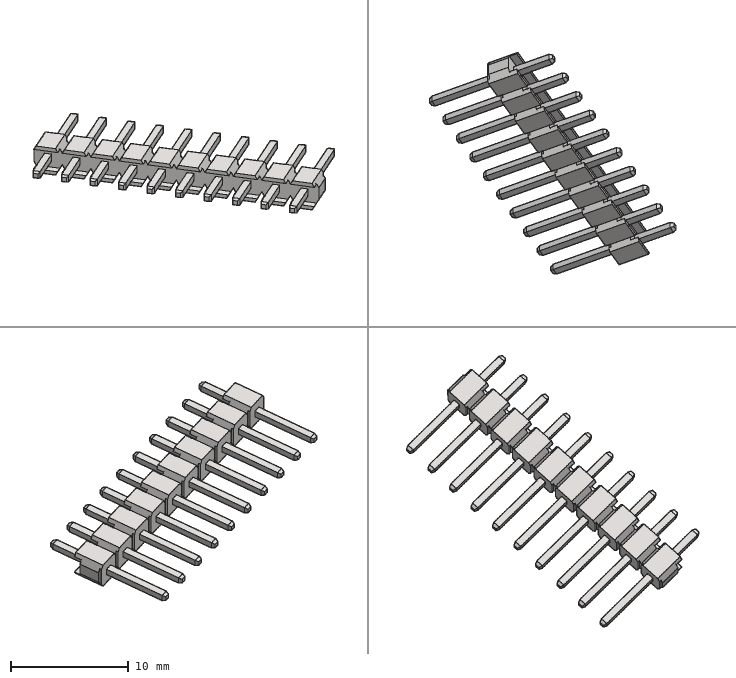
import cadquery as cq

pin_count = 10
pitch = 2.54
row_length = pin_count * pitch

body_height = 2.54
body_depth = 2.8
block_flat_width = 1.74
block_side_height = 1.14
lip_thickness = 0.35
channel_depth = 0.7
notch_depth = 0.2

pin_width = 0.64
tip_width = 0.42
tip_length = 0.3
front_pin_length = 3.0
rear_pin_length = 6.0

front_y = -body_depth / 2
rear_y = body_depth / 2
channel_height = body_height - 2 * lip_thickness

slope_run = (pitch - block_flat_width) / 2
slope_rise = (body_height - block_side_height) / 2
lip_half_width = block_flat_width / 2 + slope_run * lip_thickness / slope_rise
notch_width = pitch - 2 * lip_half_width

pin_positions = [(i - (pin_count - 1) / 2) * pitch for i in range(pin_count)]
joint_positions = [(i - pin_count / 2) * pitch for i in range(pin_count + 1)]


def box_between_y(width, height, start_y, end_y, x=0):
    """Box centred on X = x and Z = 0, reaching from start_y to end_y."""
    middle_y = (start_y + end_y) / 2
    return cq.Workplane("XY").box(width, end_y - start_y, height).translate((x, middle_y, 0))


def make_block(x):
    """Octagonal block of the insulator around the pin at x."""
    half_pitch = pitch / 2
    half_flat = block_flat_width / 2
    half_side = block_side_height / 2
    half_height = body_height / 2
    return (
        cq.Workplane("XZ", origin=(x, rear_y, 0))
        .moveTo(half_flat, half_height)
        .lineTo(half_pitch, half_side)
        .lineTo(half_pitch, -half_side)
        .lineTo(half_flat, -half_height)
        .lineTo(-half_flat, -half_height)
        .lineTo(-half_pitch, -half_side)
        .lineTo(-half_pitch, half_side)
        .lineTo(-half_flat, half_height)
        .close()
        .extrude(body_depth)
    )


def make_insulator():
    """Row of blocks with a full-length front channel and notches at the rear joints."""
    insulator = make_block(pin_positions[0])
    for x in pin_positions[1:]:
        insulator = insulator.union(make_block(x))
    channel = box_between_y(row_length, channel_height, front_y, front_y + channel_depth)
    insulator = insulator.cut(channel)
    for x in joint_positions:
        notch = box_between_y(notch_width, body_height, rear_y - notch_depth, rear_y, x)
        insulator = insulator.cut(notch)
    return insulator


def make_tip(x, end_y, direction):
    """Tapered pin end at end_y, pointing along +Y (direction 1) or -Y (direction -1)."""
    base = cq.Plane(
        origin=(x, end_y - direction * tip_length, 0),
        xDir=(1, 0, 0),
        normal=(0, direction, 0),
    )
    return (
        cq.Workplane(base)
        .rect(pin_width, pin_width)
        .workplane(offset=tip_length)
        .rect(tip_width, tip_width)
        .loft(ruled=True)
    )


def make_pin(x):
    """Square pin through the insulator, tapered at both ends."""
    front_end_y = front_y - front_pin_length
    rear_end_y = rear_y + rear_pin_length
    shank = box_between_y(pin_width, pin_width, front_end_y + tip_length, rear_end_y - tip_length, x)
    return shank.union(make_tip(x, front_end_y, -1)).union(make_tip(x, rear_end_y, 1))


result = make_insulator()
for pin_x in pin_positions:
    result = result.union(make_pin(pin_x))